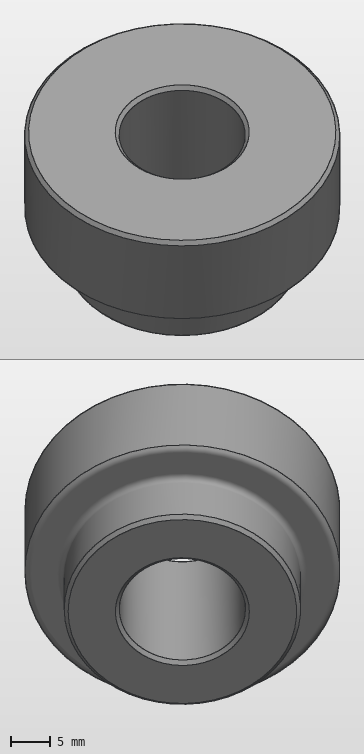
import cadquery as cq

flange_diameter = 40.0
hub_diameter = 30.0
bore_diameter = 16.0
total_height = 22.0
flange_height = 14.0
chamfer_diameter_change = 1.0
root_fillet = 0.8

hub_height = total_height - flange_height
edge_chamfer = chamfer_diameter_change / 2


def chamfered_disc(diameter, height, base_z):
    """Disc about the Z axis with both rims chamfered."""
    disc = cq.Workplane("XY").workplane(offset=base_z).circle(diameter / 2).extrude(height)
    return disc.faces("<Z or >Z").edges().chamfer(edge_chamfer)


def hub():
    """Smaller cylinder below the flange, chamfered at its free end."""
    cylinder = cq.Workplane("XY").circle(hub_diameter / 2).extrude(hub_height)
    return cylinder.faces("<Z").edges().chamfer(edge_chamfer)


def fillet_root(body):
    """Round the inner corner where the hub meets the flange."""
    radius = hub_diameter / 2
    corner = cq.selectors.BoxSelector(
        (-radius, -radius, hub_height - root_fillet / 2),
        (radius, radius, hub_height + root_fillet / 2),
    )
    return body.edges(corner).edges("%CIRCLE").fillet(root_fillet)


def cut_bore(body):
    """Cut the through bore and chamfer both of its mouths."""
    bored = body.faces(">Z").workplane().hole(bore_diameter)
    bored = bored.faces(">Z").edges(cq.selectors.RadiusNthSelector(0)).chamfer(edge_chamfer)
    return bored.faces("<Z").edges(cq.selectors.RadiusNthSelector(0)).chamfer(edge_chamfer)


stepped_body = chamfered_disc(flange_diameter, flange_height, hub_height).union(hub())
result = cut_bore(fillet_root(stepped_body))